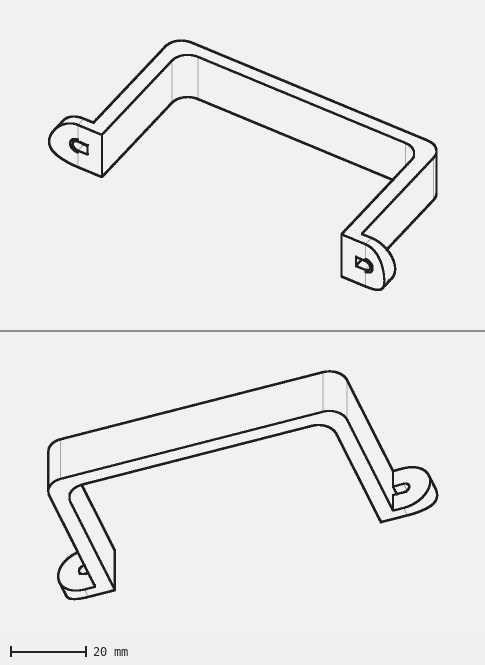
import cadquery as cq
import math

overall_length = 105.0
width = 15.0
handle_height = 44.0
grip_thickness = 4.0
leg_thickness = 4.5
leg_span = 84.0
corner_radius = 5.0
foot_thickness = 3.0
lip_depth = 2.5
slot_radius = 1.6
recess_radius = 2.3

half_length = overall_length / 2
half_leg_span = leg_span / 2
end_radius = width / 2
bend_x = half_length - end_radius
lip_radius = (end_radius**2 + lip_depth**2) / (2 * lip_depth)


def make_bow():
    """U-shaped grip and legs, with the flat foot face at Y = 0."""
    outer = (
        cq.Workplane("XY")
        .box(leg_span, handle_height, width, centered=(True, False, True))
        .edges("|Z and >Y")
        .fillet(corner_radius)
    )
    opening = (
        cq.Workplane("XY")
        .box(
            leg_span - 2 * leg_thickness,
            handle_height - grip_thickness,
            width,
            centered=(True, False, True),
        )
        .edges("|Z and >Y")
        .fillet(corner_radius)
    )
    return outer.cut(opening)


def make_foot():
    """Right-hand foot: a flat tab with a curled, round-ended lip."""
    half_angle = math.asin(end_radius / lip_radius) / 2
    arc_middle = (
        bend_x + lip_radius * math.sin(half_angle),
        -lip_radius * (1 - math.cos(half_angle)),
    )
    inner_x = half_leg_span - leg_thickness
    profile = (
        cq.Workplane("XY")
        .moveTo(inner_x, 0)
        .lineTo(bend_x, 0)
        .threePointArc(arc_middle, (half_length, -lip_depth))
        .lineTo(half_length, foot_thickness)
        .lineTo(inner_x, foot_thickness)
        .close()
        .extrude(end_radius, both=True)
    )
    outline = (
        cq.Workplane("XZ", origin=(0, foot_thickness, 0))
        .moveTo(inner_x, -end_radius)
        .lineTo(bend_x, -end_radius)
        .threePointArc((half_length, 0), (bend_x, end_radius))
        .lineTo(inner_x, end_radius)
        .close()
        .extrude(foot_thickness + lip_depth)
    )
    return profile.intersect(outline)


def make_screw_cutter():
    """Slot, square where it meets the leg, plus the round recess down to the flat foot face."""
    slot = (
        cq.Workplane("XZ", origin=(0, foot_thickness, 0))
        .moveTo(half_leg_span, -slot_radius)
        .lineTo(bend_x, -slot_radius)
        .threePointArc((bend_x + slot_radius, 0), (bend_x, slot_radius))
        .lineTo(half_leg_span, slot_radius)
        .close()
        .extrude(foot_thickness + lip_depth)
    )
    recess = cq.Workplane("XZ").center(bend_x, 0).circle(recess_radius).extrude(lip_depth)
    return slot.union(recess)


right_foot = make_foot().cut(make_screw_cutter())
left_foot = right_foot.mirror("YZ")

result = make_bow().union(right_foot).union(left_foot)